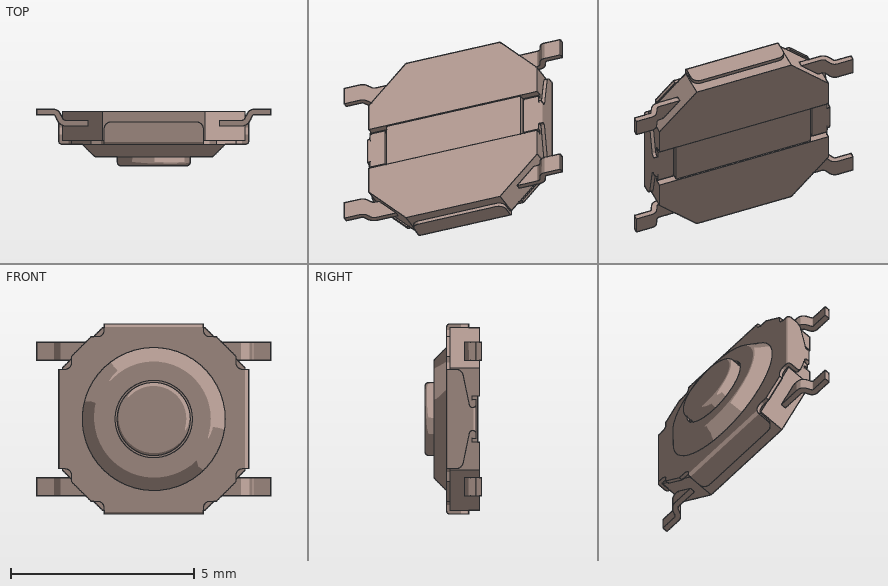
import cadquery as cq
import math


sheet = 0.1
base_size = 4.99
base_flat = 2.79
base_back = 0.06
cover_front = 0.96
cover_back = cover_front - sheet
base_half = base_size / 2
cover_half = base_half + sheet
bend_radius = 0.095

flap_half = 1.36
corner_inset = 2.245
corner_near = 1.71
relief_radius = 0.17

flap_end = 0.345
flap_corner = 0.205
taper_start = 0.54
neck_relief_radius = 0.095
neck_half = 0.315
neck_relief_depth = 0.24
latch_back = 0.155
latch_bend = 0.06
latch_half = 0.53
latch_length = 0.45

channel_half = 0.63
channel_floor = 0.1
pocket_floor = latch_back + sheet
pocket_length = 0.51

dome_base_radius = 1.95
dome_height = 0.345
dome_top_radius = dome_base_radius - dome_height
dome_edge = 0.1
dome_front = cover_front + dome_height
button_front = 1.55
button_radius = 1.0
button_edge = 0.1
hole_radius = 1.055

lead_reach = 3.2
lead_inner_end = 1.665
lead_thickness = 0.155
lead_width = 0.5
lead_height = 1.85
lead_drop = 0.31
foot_bend_x = 2.71
root_bend_x = 2.56
foot_inner_radius = 0.045
root_inner_radius = 0.115


def box(x_range, depth_range, z_range):
    """Axis-aligned block given by its limits in X, depth and Z."""
    x0, x1 = x_range
    d0, d1 = depth_range
    z0, z1 = z_range
    return cq.Workplane("XY").box(x1 - x0, d1 - d0, z1 - z0, centered=False).translate((x0, -d1, z0))


def disc(radius, back, front):
    """Round disc on the button axis between two depths."""
    return cq.Workplane("XZ", origin=(0, -back, 0)).circle(radius).extrude(front - back)


def both_sides(shape, plane):
    return shape.union(shape.mirror(plane))


def make_base():
    chamfer = (base_size - base_flat) / 2
    base = (
        cq.Workplane("XZ", origin=(0, -base_back, 0))
        .rect(base_size, base_size)
        .extrude(cover_back - base_back)
        .edges("|Y")
        .chamfer(chamfer)
    )
    channel_z = (-channel_half, channel_half)
    channel = box((-base_half, base_half), (base_back, channel_floor), channel_z)
    pocket = box((-base_half, -base_half + pocket_length), (base_back, pocket_floor), channel_z)
    return base.cut(channel).cut(both_sides(pocket, "YZ"))


def make_corner_waste():
    """Material outside one corner: the diagonal edge with a rounded bend relief at each end."""
    arc_offset = relief_radius * (1 - math.sqrt(0.5))
    far = cover_half
    return (
        cq.Workplane("XZ", origin=(0, -cover_back, 0))
        .moveTo(flap_half, far)
        .lineTo(flap_half, corner_inset + relief_radius)
        .threePointArc(
            (flap_half + arc_offset, corner_inset + arc_offset),
            (flap_half + relief_radius, corner_inset),
        )
        .lineTo(corner_near, corner_inset)
        .lineTo(corner_inset, corner_near)
        .lineTo(corner_inset, flap_half + relief_radius)
        .threePointArc(
            (corner_inset + arc_offset, flap_half + arc_offset),
            (corner_inset + relief_radius, flap_half),
        )
        .lineTo(far, flap_half)
        .lineTo(far, far)
        .close()
        .extrude(sheet)
    )


def make_cover_face():
    face = (
        cq.Workplane("XZ", origin=(0, -cover_back, 0))
        .rect(2 * cover_half, 2 * cover_half)
        .extrude(sheet)
        .edges("<Y")
        .fillet(bend_radius)
    )
    corners = both_sides(both_sides(make_corner_waste(), "YZ"), "XY")
    return face.cut(corners)


def make_plain_flap():
    """Upper flap lying on the base, with rounded corners."""
    flap = box((-flap_half, flap_half), (flap_end, cover_back), (base_half, cover_half))
    return flap.edges("|Z and >Y").fillet(flap_corner)


def make_latch_flap():
    """Left flap narrowing to a neck that folds into the base pocket as a wide latch."""
    relief_z = neck_half + neck_relief_radius
    relief_front = neck_relief_depth + neck_relief_radius
    flap = (
        cq.Workplane("YZ", origin=(-cover_half, 0, 0))
        .polyline([
            (-cover_back, flap_half),
            (-taper_start, flap_half),
            (-relief_front, relief_z),
            (-latch_back, relief_z),
            (-latch_back, -relief_z),
            (-relief_front, -relief_z),
            (-taper_start, -flap_half),
            (-cover_back, -flap_half),
        ])
        .close()
        .extrude(sheet)
    )
    for z in (flap_half, -flap_half):
        corner = cq.selectors.NearestToPointSelector((-cover_half + sheet / 2, -taper_start, z))
        flap = flap.edges("|X").edges(corner).fillet(flap_corner)
    flap = flap.edges("|Z and <X and >Y").fillet(latch_bend)
    reliefs = (
        cq.Workplane("YZ", origin=(-cover_half, 0, 0))
        .pushPoints([(-neck_relief_depth, relief_z), (-neck_relief_depth, -relief_z)])
        .circle(neck_relief_radius)
        .extrude(sheet)
    )
    latch = box(
        (-base_half, -base_half + latch_length),
        (latch_back, pocket_floor),
        (-latch_half, latch_half),
    )
    return flap.cut(reliefs).union(latch)


def make_dome():
    dome = (
        cq.Workplane("XY")
        .polyline([
            (0, -cover_back),
            (dome_base_radius, -cover_back),
            (dome_base_radius, -cover_front),
            (dome_top_radius, -dome_front),
            (0, -dome_front),
        ])
        .close()
        .revolve(360, (0, 0, 0), (0, 1, 0))
        .faces("<Y")
        .edges()
        .fillet(dome_edge)
    )
    return dome.cut(disc(hole_radius, dome_front - sheet, dome_front))


def make_button():
    return disc(button_radius, dome_front - sheet, button_front).faces("<Y").edges().fillet(button_edge)


def make_lead():
    """Upper left lead: a strip joggled from the mounting plane down into the base side."""
    slope = math.atan2(lead_drop, foot_bend_x - root_bend_x)
    miter = lead_thickness * math.tan(slope / 2)
    root_back = lead_drop
    root_front = lead_drop + lead_thickness
    lead = (
        cq.Workplane("XY", origin=(0, 0, lead_height - lead_width / 2))
        .polyline([
            (-lead_reach, 0),
            (-foot_bend_x + miter, 0),
            (-root_bend_x + miter, -root_back),
            (-lead_inner_end, -root_back),
            (-lead_inner_end, -root_front),
            (-root_bend_x, -root_front),
            (-foot_bend_x, -lead_thickness),
            (-lead_reach, -lead_thickness),
        ])
        .close()
        .extrude(lead_width)
    )
    bends = [
        (-foot_bend_x, -lead_thickness, foot_inner_radius),
        (-foot_bend_x + miter, 0, foot_inner_radius + lead_thickness),
        (-root_bend_x + miter, -root_back, root_inner_radius),
        (-root_bend_x, -root_front, root_inner_radius + lead_thickness),
    ]
    for x, y, radius in bends:
        corner = cq.selectors.NearestToPointSelector((x, y, lead_height))
        lead = lead.edges("|Z").edges(corner).fillet(radius)
    return lead


plain_flaps = both_sides(make_plain_flap(), "XY")
latch_flaps = both_sides(make_latch_flap(), "YZ")
leads = both_sides(both_sides(make_lead(), "YZ"), "XY")

result = (
    make_base()
    .union(make_cover_face())
    .union(plain_flaps)
    .union(latch_flaps)
    .union(make_dome())
    .union(make_button())
    .union(leads)
)